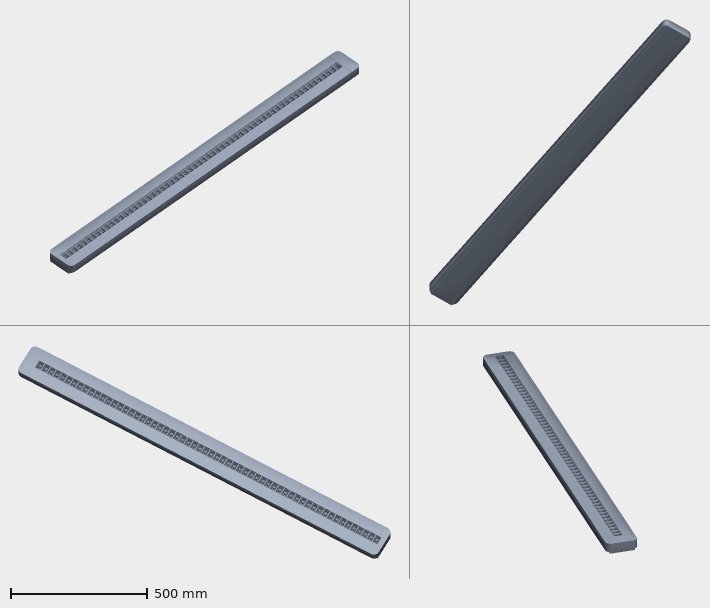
import cadquery as cq

LENGTH = 1518.0
WIDTH = 121.0
HEIGHT = 41.0
CORNER_RADIUS = 20.0
BACK_END = LENGTH / 2
FRONT_END = -LENGTH / 2

BASE_WIDTH = 97.0
BASE_THICKNESS = 6.0
BODY_HEIGHT = HEIGHT - BASE_THICKNESS

BACK_CAP_LENGTH = 52.0
FRONT_CAP_LENGTH = CORNER_RADIUS
HOUSING_LENGTH = LENGTH - BACK_CAP_LENGTH - FRONT_CAP_LENGTH
HOUSING_FRONT = FRONT_END + FRONT_CAP_LENGTH
HOUSING_BACK = BACK_END - BACK_CAP_LENGTH

GROOVE_WIDTH = 2.3
GROOVE_DEPTH = 0.5

SLOT_WIDTH = 32.0
STRIP_RECESS = 3.0
STRIP_THICKNESS = 15.0
STRIP_TOP = HEIGHT - STRIP_RECESS
STRIP_BOTTOM = STRIP_TOP - STRIP_THICKNESS

CELL_COUNT = 60
CELL_PITCH = HOUSING_LENGTH / CELL_COUNT
RIB_WIDTH = 3.0
CELL_DEPTH = 9.0
CELL_TOP_LENGTH = CELL_PITCH - RIB_WIDTH
CELL_FLOOR_WIDTH = 17.0
CELL_FLOOR_LENGTH = 12.0
LENS_RADIUS = 5.5


def block(width, front, back, bottom, top):
    """Box centred on X, between two Y stations and two Z levels."""
    front_edge = cq.Workplane("XY", origin=(0, front, bottom))
    return front_edge.box(width, back - front, top - bottom, centered=(True, False, False))


def make_base():
    return block(BASE_WIDTH, FRONT_END, BACK_END, 0, BASE_THICKNESS)


def make_housing():
    body = block(WIDTH, HOUSING_FRONT, HOUSING_BACK, BASE_THICKNESS, HEIGHT)
    slot = block(SLOT_WIDTH, HOUSING_FRONT, HOUSING_BACK, STRIP_BOTTOM, HEIGHT)
    return body.cut(slot)


def make_front_cap():
    outline = (
        cq.Workplane("XY", origin=(0, 0, BASE_THICKNESS))
        .moveTo(-WIDTH / 2, HOUSING_FRONT)
        .radiusArc((-WIDTH / 2 + CORNER_RADIUS, FRONT_END), -CORNER_RADIUS)
        .lineTo(WIDTH / 2 - CORNER_RADIUS, FRONT_END)
        .radiusArc((WIDTH / 2, HOUSING_FRONT), -CORNER_RADIUS)
        .close()
    )
    return outline.extrude(BODY_HEIGHT)


def make_back_cap():
    cap = block(WIDTH, HOUSING_BACK, BACK_END, BASE_THICKNESS, HEIGHT)
    cap = cap.edges("|Z and >Y").fillet(CORNER_RADIUS)
    groove_back = HOUSING_BACK + GROOVE_WIDTH
    groove = block(WIDTH, HOUSING_BACK, groove_back, BASE_THICKNESS, HEIGHT)
    core = block(WIDTH - 2 * GROOVE_DEPTH, HOUSING_BACK, groove_back, BASE_THICKNESS, HEIGHT - GROOVE_DEPTH)
    slot_end = block(SLOT_WIDTH, HOUSING_BACK, groove_back, BASE_THICKNESS, HEIGHT)
    return cap.cut(groove.cut(core).cut(slot_end))


def make_cell_pocket():
    """Pocket tapering from the strip top down to its floor, at the origin in Y."""
    return (
        cq.Workplane("XY", origin=(0, 0, STRIP_TOP))
        .rect(SLOT_WIDTH, CELL_TOP_LENGTH)
        .workplane(offset=-CELL_DEPTH)
        .rect(CELL_FLOOR_WIDTH, CELL_FLOOR_LENGTH)
        .loft(ruled=True)
    )


def make_lens():
    """Half-ball dome that stands on a cell floor, at the origin in Y."""
    floor = STRIP_TOP - CELL_DEPTH
    return cq.Workplane("XY", origin=(0, 0, floor)).sphere(LENS_RADIUS, angle1=0)


def make_reflector():
    strip = block(SLOT_WIDTH, HOUSING_FRONT, HOUSING_BACK, STRIP_BOTTOM, STRIP_TOP)
    cell_shape = make_cell_pocket().cut(make_lens()).val()
    first_cell = HOUSING_FRONT + CELL_PITCH / 2
    cells = [cell_shape.translate(cq.Vector(0, first_cell + i * CELL_PITCH, 0)) for i in range(CELL_COUNT)]
    return strip.cut(cq.Workplane(cq.Compound.makeCompound(cells)))


base = make_base()
housing = make_housing()
front_cap = make_front_cap()
back_cap = make_back_cap()
reflector = make_reflector()

result = cq.Compound.makeCompound(
    [base.val(), housing.val(), front_cap.val(), back_cap.val(), reflector.val()]
)